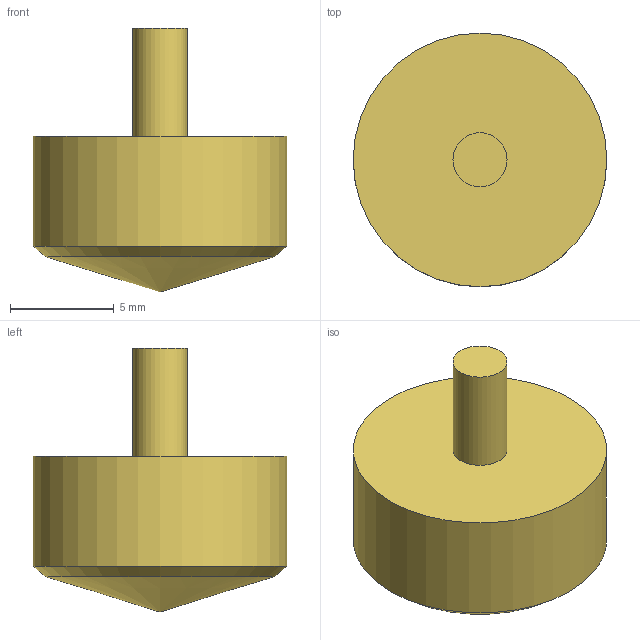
import cadquery as cq

overall_height = 12.7
pin_diameter = 2.6
pin_length = 5.2
head_diameter = 12.2
head_side_height = 5.3
edge_bevel_height = 0.5
edge_bevel_width = 0.6

pin_radius = pin_diameter / 2
head_radius = head_diameter / 2
cone_radius = head_radius - edge_bevel_width
shoulder_z = overall_height - pin_length
bevel_top_z = shoulder_z - head_side_height
cone_base_z = bevel_top_z - edge_bevel_height


def turned_body():
    """Revolve the half profile: cone tip, bevelled edge, head and pin."""
    profile = (
        cq.Workplane("XZ")
        .moveTo(0, 0)
        .lineTo(cone_radius, cone_base_z)
        .lineTo(head_radius, bevel_top_z)
        .lineTo(head_radius, shoulder_z)
        .lineTo(pin_radius, shoulder_z)
        .lineTo(pin_radius, overall_height)
        .lineTo(0, overall_height)
        .close()
    )
    return profile.revolve(360, (0, 0, 0), (0, 1, 0))


result = turned_body()